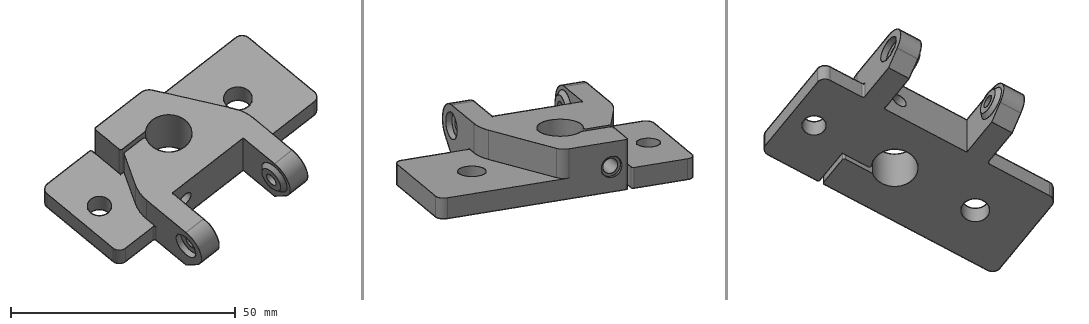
import cadquery as cq
import math

plate_width = 25.0
plate_front = -27.5
plate_back = 35.0
plate_thickness = 5.0
plate_corner_radius = 2.0
mount_hole_offset = 21.5
back_mount_diameter = 6.4
front_mount_diameter = 5.4

block_height = 12.0
block_half_width = 16.5
shoulder_x = 19.9
shoulder_radius = 10.0
back_slope_angle = 30.0
back_heel_radius = 2.75
bore_x = plate_width / 2
bore_diameter = 10.4

slit_width = 1.0
jaw_width = 8.5
jaw_end = -11.0
slit_edge_radius = 0.5
edge_search_margin = 0.05
slit_inner_x = jaw_width + slit_width
slit_front = jaw_end - slit_width

screw_y = -7.0
screw_z = 6.0
screw_diameter = 3.6
screw_clearance_diameter = 5.0
screw_clearance_depth = 0.75

arm_inner = 11.0
pivot_radius = 5.0
pivot_x = 35.0
pivot_z = block_height - pivot_radius
arm_root_fillet = 0.5
pin_diameter = 3.0
pin_counterbore_diameter = 6.25
pin_counterbore_depth = 1.5
pad_base_radius = 4.0
pad_height = 1.0
pad_top_radius = pad_base_radius - pad_height


def make_plate():
    length = plate_back - plate_front
    plate = cq.Workplane("XY").box(plate_width, length, plate_thickness, centered=False)
    return plate.translate((0, plate_front, 0)).edges("|Z").fillet(plate_corner_radius)


def make_block():
    heel_y = block_half_width - shoulder_x * math.tan(math.radians(back_slope_angle))
    outline = [
        (0, jaw_end),
        (0, heel_y),
        (shoulder_x, block_half_width),
        (plate_width, block_half_width),
        (plate_width, -block_half_width),
        (shoulder_x, -block_half_width),
        (slit_inner_x, jaw_end),
    ]
    block = cq.Workplane("XY").polyline(outline).close().extrude(block_height)

    def upright_edge(x, y):
        return cq.selectors.NearestToPointSelector((x, y, block_height / 2))

    block = block.edges(upright_edge(0, heel_y)).fillet(back_heel_radius)
    for side in (1, -1):
        block = block.edges(upright_edge(shoulder_x, side * block_half_width)).fillet(shoulder_radius)
    return block


def make_arm():
    """Back arm with a rounded nose, a 45 degree lower edge and a conical pad inside."""
    diagonal = pivot_radius * math.sqrt(0.5)
    slope_x = pivot_x + diagonal
    slope_z = pivot_z - diagonal
    arm = (
        cq.Workplane("XZ", origin=(0, block_half_width, 0))
        .moveTo(plate_width, 0)
        .lineTo(slope_x - slope_z, 0)
        .lineTo(slope_x, slope_z)
        .threePointArc((pivot_x + pivot_radius, pivot_z), (pivot_x, block_height))
        .lineTo(plate_width, block_height)
        .close()
        .extrude(block_half_width - arm_inner)
    )
    pad = cq.Solid.makeCone(
        pad_base_radius, pad_top_radius, pad_height,
        cq.Vector(pivot_x, arm_inner, pivot_z), cq.Vector(0, -1, 0),
    )
    pin = cq.Solid.makeCylinder(
        pin_diameter / 2, block_half_width,
        cq.Vector(pivot_x, 0, pivot_z), cq.Vector(0, 1, 0),
    )
    counterbore = cq.Solid.makeCylinder(
        pin_counterbore_diameter / 2, pin_counterbore_depth,
        cq.Vector(pivot_x, block_half_width, pivot_z), cq.Vector(0, -1, 0),
    )
    return arm.union(cq.Workplane(pad)).cut(cq.Workplane(pin)).cut(cq.Workplane(counterbore))


def vertical_hole(y, diameter):
    return cq.Workplane("XY").center(bore_x, y).circle(diameter / 2).extrude(block_height)


def make_slit():
    outline = [
        (0, slit_front),
        (slit_inner_x, slit_front),
        (slit_inner_x, 0),
        (jaw_width, 0),
        (jaw_width, jaw_end),
        (0, jaw_end),
    ]
    return cq.Workplane("XY").polyline(outline).close().extrude(block_height)


def round_slit_edges(body):
    bore_lip_y = -math.sqrt((bore_diameter / 2) ** 2 - (bore_x - slit_inner_x) ** 2)
    corners = [
        (0, jaw_end),
        (jaw_width, jaw_end),
        (0, slit_front),
        (slit_inner_x, bore_lip_y),
    ]
    for x, y in corners:
        corner_edge = cq.selectors.BoxSelector(
            (x - edge_search_margin, y - edge_search_margin, 0),
            (x + edge_search_margin, y + edge_search_margin, block_height),
        )
        body = body.edges("|Z").edges(corner_edge).fillet(slit_edge_radius)
    return body


def make_screw_hole():
    side = cq.Workplane("YZ").center(screw_y, screw_z)
    hole = side.circle(screw_diameter / 2).extrude(plate_width)
    return hole.union(side.circle(screw_clearance_diameter / 2).extrude(screw_clearance_depth))


def fillet_arm_roots(body):
    """Blend the outer arm faces into the plate side."""
    for side in (1, -1):
        root = cq.selectors.NearestToPointSelector((plate_width, side * block_half_width, plate_thickness / 2))
        body = body.edges("|Z").edges(root).fillet(arm_root_fillet)
    return body


back_arm = make_arm()
body = make_plate().union(make_block()).union(back_arm).union(back_arm.mirror("XZ"))
body = fillet_arm_roots(body)
body = body.cut(vertical_hole(0, bore_diameter))
body = body.cut(vertical_hole(mount_hole_offset, back_mount_diameter))
body = body.cut(vertical_hole(-mount_hole_offset, front_mount_diameter))
body = round_slit_edges(body.cut(make_slit()))
result = body.cut(make_screw_hole())